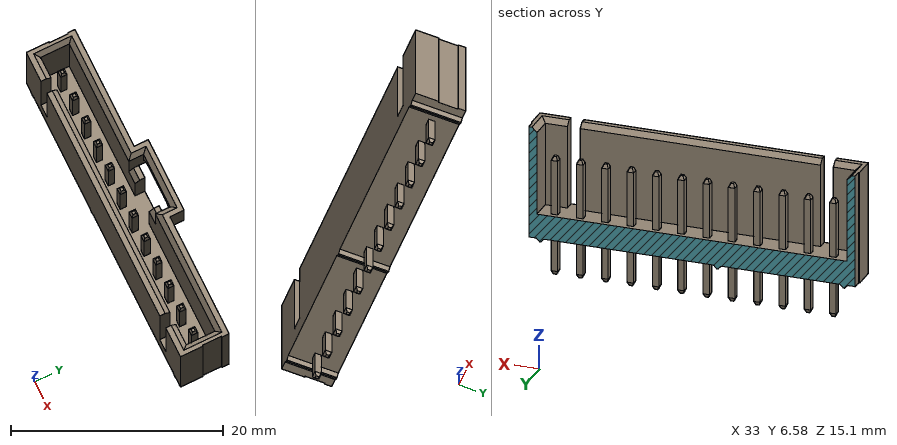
import cadquery as cq

length = 32.95
depth = 5.1
height = 11.43
end_wall = 0.92
side_wall = 1.05
cavity_depth = 8.9
rim_chamfer = 0.5
floor_z = height - cavity_depth
cavity_length = length - 2 * end_wall
cavity_back = depth - side_wall

recess_depth = 0.1
recess_front = 2.37
recess_width = 1.98

pin_count = 12
pin_span = 27.93
pitch = pin_span / (pin_count - 1)
pin_width = 0.65
pin_tip_width = 0.3
pin_tip_length = 0.4
pin_tail = 3.7
pin_recess = 2.95
pin_top = height - pin_recess
pin_y = depth / 2

slot_width = 1.3
slot_x = pin_span / 2 - pitch / 2

tab_width = 7.65
tab_height = 3.82
tab_reach = 1.48
tab_wall = 1.0
tab_inner_width = tab_width - 2 * tab_wall
tab_back = depth + tab_reach
tab_inner_back = tab_back - tab_wall
tab_bottom = height - tab_height

bar_height = 1.48
window_radius = 1.32

notch_width = 3.03

rib_half_width = 0.4
rib_tip_half_width = 0.05
rib_height = 0.33
end_rib_x = pin_span / 2 + pitch / 2
rib_positions = [-end_rib_x, -pitch, end_rib_x]


def block(x_size, y_min, y_max, z_min, z_max, x_centre=0):
    """Box centred on x_centre and spanning the given Y and Z ranges."""
    return (
        cq.Workplane("XY")
        .box(x_size, y_max - y_min, z_max - z_min, centered=(True, False, False))
        .translate((x_centre, y_min, z_min))
    )


def lead_in(x_size, y_min, y_max, top_z):
    """Cutter that flares a rectangular opening at 45 degrees up to top_z."""
    return (
        cq.Workplane("XY", origin=(0, (y_min + y_max) / 2, top_z - rim_chamfer))
        .rect(x_size, y_max - y_min)
        .workplane(offset=rim_chamfer)
        .rect(x_size + 2 * rim_chamfer, y_max - y_min + 2 * rim_chamfer)
        .loft(ruled=True)
    )


def make_shell():
    """Housing and tab, hollowed and chamfered around the rim."""
    shell = block(length, 0, depth, 0, height)
    shell = shell.union(block(tab_width, cavity_back, tab_back, tab_bottom, height))
    shell = shell.cut(block(cavity_length, side_wall, cavity_back, floor_z, height))
    shell = shell.cut(lead_in(cavity_length, side_wall, cavity_back, height))
    shell = shell.cut(block(tab_inner_width, pin_y, tab_inner_back, tab_bottom, height))
    shell = shell.cut(lead_in(tab_inner_width, pin_y, tab_inner_back, height))
    return shell


def cut_key_opening(shell):
    """Latch window, lower notch and the chamfered ledge beside the notch."""
    window = block(tab_inner_width, tab_inner_back, tab_back, tab_bottom, height - bar_height)
    window = window.edges("|Y and >Z").fillet(window_radius)
    notch = block(notch_width, pin_y, depth, floor_z, tab_bottom)
    ledge_chamfer = (
        cq.Workplane("YZ")
        .moveTo(cavity_back, tab_bottom)
        .lineTo(cavity_back + rim_chamfer, tab_bottom)
        .lineTo(cavity_back, tab_bottom - rim_chamfer)
        .close()
        .extrude(tab_inner_width / 2, both=True)
    )
    return shell.cut(window).cut(notch).cut(ledge_chamfer)


def cut_slots_and_recesses(shell):
    """Front wall slots and end face recesses, mirrored left to right."""
    for side in (-1, 1):
        slot = block(slot_width, 0, side_wall, floor_z, height, side * slot_x)
        recess = block(
            2 * recess_depth, recess_front, recess_front + recess_width, 0, height, side * length / 2
        )
        shell = shell.cut(slot).cut(recess)
    return shell


def make_rib(x):
    """Standoff rib running the full depth of the housing."""
    return (
        cq.Workplane("XZ")
        .moveTo(x - rib_half_width, 0)
        .lineTo(x - rib_tip_half_width, -rib_height)
        .lineTo(x + rib_tip_half_width, -rib_height)
        .lineTo(x + rib_half_width, 0)
        .close()
        .extrude(-depth)
    )


def pin_tip(x, z_base, direction):
    """Tapered pin end growing from z_base, up (1) or down (-1)."""
    return (
        cq.Workplane("XY", origin=(x, pin_y, z_base))
        .rect(pin_width, pin_width)
        .workplane(offset=direction * pin_tip_length)
        .rect(pin_tip_width, pin_tip_width)
        .loft(ruled=True)
    )


def make_pin(x):
    """Square pin through the floor, tapered at both ends."""
    shank_bottom = pin_tip_length - pin_tail
    shank_top = pin_top - pin_tip_length
    half = pin_width / 2
    shank = block(pin_width, pin_y - half, pin_y + half, shank_bottom, shank_top, x)
    return shank.union(pin_tip(x, shank_top, 1)).union(pin_tip(x, shank_bottom, -1))


result = cut_slots_and_recesses(cut_key_opening(make_shell()))
for rib_x in rib_positions:
    result = result.union(make_rib(rib_x))
for index in range(pin_count):
    pin_x = index * pitch - pin_span / 2
    result = result.union(make_pin(pin_x))